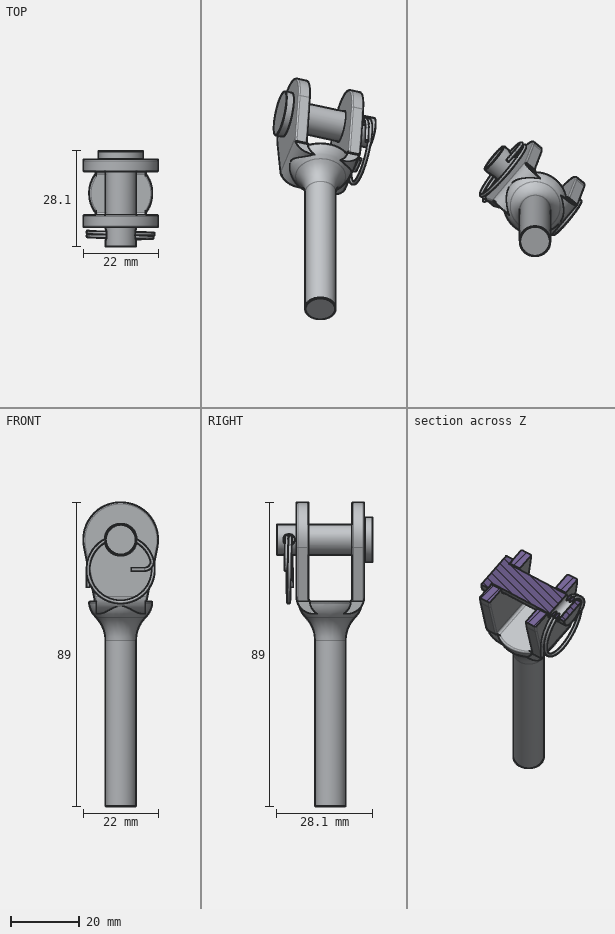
import cadquery as cq
import math

total_height = 89.0

eye_radius = 22.0 / 2
fork_width = 19.9
lug_gap = 12.6
lug_foot_half_width = 7.6
base_half_width = 7.1
floor_z = 60.0
outer_bend_radius = 5.1
inner_bend_radius = 0.8
fork_edge_radius = 0.45
bore_radius = 4.7

stud_radius = 4.5
stud_chamfer = 0.3
flare_start_z = 48.7
flare_mid_z = 55.4
flare_mid_radius = 7.3
flare_rim_radius = 9.35
flare_rim_fillet = 0.5

pin_radius = 9.0 / 2
pin_end_y = -15.7
head_radius = 13.3 / 2
head_thickness = 2.4
pin_chamfer = 0.2
cross_hole_radius = 1.6
cross_hole_chamfer = 0.2
cross_hole_y = -12.1

wire_radius = 0.49
coil_radius = 9.5
coil_pitch = 1.1
coil_start_y = -11.4
coil_centre_z = 69.3
tail_length = 5.25
hook_end_x = 3.0
hook_bend_x = 6.9

pin_z = total_height - eye_radius
lug_outer_y = fork_width / 2
lug_inner_y = lug_gap / 2
lug_thickness = lug_outer_y - lug_inner_y
base_bottom_z = floor_z - lug_thickness


def make_bent_strap():
    """Upright U with rounded bends, still as wide along X as the eyes."""
    block_height = total_height - base_bottom_z
    block = (
        cq.Workplane("XY", origin=(0, 0, base_bottom_z))
        .box(2 * eye_radius, fork_width, block_height, centered=(True, True, False))
        .edges("|X and <Z")
        .fillet(outer_bend_radius)
    )
    slot = (
        cq.Workplane("XY", origin=(0, 0, floor_z))
        .box(2 * eye_radius, lug_gap, block_height, centered=(True, True, False))
        .edges("|X and <Z")
        .fillet(inner_bend_radius)
    )
    return block.cut(slot)


def make_lugs():
    """The two tapered lugs above the slot floor, with rounded edges and no pin bore."""
    flank_drop = pin_z - floor_z
    foot_distance = math.hypot(lug_foot_half_width, flank_drop)
    flank_tilt = math.asin(eye_radius / foot_distance) - math.atan2(lug_foot_half_width, flank_drop)
    tangent_x = eye_radius * math.cos(flank_tilt)
    tangent_z = pin_z - eye_radius * math.sin(flank_tilt)
    bottom_x = lug_foot_half_width - lug_thickness * math.tan(flank_tilt)
    outline = (
        cq.Workplane("XZ", origin=(0, lug_outer_y, 0))
        .moveTo(-bottom_x, base_bottom_z)
        .lineTo(-tangent_x, tangent_z)
        .threePointArc((0, total_height), (tangent_x, tangent_z))
        .lineTo(bottom_x, base_bottom_z)
        .close()
        .extrude(fork_width)
    )
    above_floor = cq.Workplane("XY", origin=(0, 0, floor_z)).box(
        2 * eye_radius, fork_width, total_height - floor_z, centered=(True, True, False)
    )
    tapered_strap = make_bent_strap().intersect(outline)
    return tapered_strap.edges("not(|X or |Y)").fillet(fork_edge_radius).intersect(above_floor)


def make_base():
    """Straight-sided bent base below the slot floor, a little narrower than the lug feet."""
    below_floor = cq.Workplane("XY", origin=(0, 0, base_bottom_z)).box(
        2 * base_half_width, fork_width, lug_thickness, centered=(True, True, False)
    )
    return make_bent_strap().intersect(below_floor)


def make_flared_stud():
    """Round stud with an S-shaped flare, turned about Z."""
    rise = flare_mid_z - flare_start_z
    spread = flare_mid_radius - stud_radius
    concave_radius = (rise**2 + spread**2) / (2 * spread)
    half_angle = math.asin(rise / concave_radius) / 2
    concave_middle = (
        stud_radius + concave_radius * (1 - math.cos(half_angle)),
        flare_start_z + concave_radius * math.sin(half_angle),
    )
    return (
        cq.Workplane("XZ")
        .lineTo(stud_radius, 0)
        .lineTo(stud_radius, flare_start_z)
        .threePointArc(concave_middle, (flare_mid_radius, flare_mid_z))
        .tangentArcPoint((flare_rim_radius, floor_z), relative=False)
        .lineTo(0, floor_z)
        .close()
        .revolve(360, (0, 0, 0), (0, 1, 0))
        .faces("<Z")
        .chamfer(stud_chamfer)
        .faces(">Z")
        .edges()
        .fillet(flare_rim_fillet)
    )


def make_fork():
    """Fork terminal: lugs, base, flare and stud, bored for the clevis pin."""
    pin_bore = (
        cq.Workplane("XZ", origin=(0, lug_outer_y, pin_z))
        .circle(bore_radius)
        .extrude(fork_width)
    )
    return make_lugs().union(make_base()).union(make_flared_stud()).cut(pin_bore)


def make_clevis_pin():
    """Headed pin along Y with a cross hole for the split ring."""
    head = (
        cq.Workplane("XZ", origin=(0, lug_outer_y + head_thickness, pin_z))
        .circle(head_radius)
        .extrude(head_thickness)
        .edges()
        .chamfer(pin_chamfer)
    )
    shank = (
        cq.Workplane("XZ", origin=(0, lug_outer_y, pin_z))
        .circle(pin_radius)
        .extrude(lug_outer_y - pin_end_y)
        .faces("<Y")
        .chamfer(pin_chamfer)
    )
    cross_hole = (
        cq.Workplane("YZ", origin=(-pin_radius, cross_hole_y, pin_z))
        .circle(cross_hole_radius)
        .extrude(2 * pin_radius)
    )
    hole_mouths = cq.selectors.BoxSelector(
        (-pin_radius, cross_hole_y - cross_hole_radius / 2, pin_z - cross_hole_radius / 2),
        (pin_radius, cross_hole_y + cross_hole_radius / 2, pin_z + cross_hole_radius / 2),
    )
    drilled_shank = shank.cut(cross_hole).edges(hole_mouths).chamfer(cross_hole_chamfer)
    return head.union(drilled_shank)


def make_split_ring():
    """Wire ring of about one and a half turns, swept along tail, coil, bend and hook."""
    bend_radius = (coil_radius**2 - hook_bend_x**2) / (2 * coil_radius)
    coil_end_angle = math.atan2(bend_radius, hook_bend_x)
    coil_angle = 3 * math.pi - coil_end_angle

    coil_plane = cq.Plane(
        origin=(0, coil_start_y, coil_centre_z), xDir=(-1, 0, 0), normal=(0, -1, 0)
    )
    coil_height = coil_pitch * coil_angle / (2 * math.pi)
    coil = cq.Wire.makeHelix(coil_pitch, coil_height, coil_radius, lefthand=True)
    coil = coil.moved(coil_plane.location)
    advance = coil_pitch / (2 * math.pi * coil_radius)

    coil_start = cq.Vector(-coil_radius, coil_start_y, coil_centre_z)
    tail_direction = cq.Vector(0, advance, -1).normalized()
    tail_end = coil_start + tail_direction * tail_length
    tail = cq.Edge.makeLine(tail_end, coil_start)

    coil_end = cq.Vector(
        coil_radius * math.cos(coil_end_angle),
        coil_start_y - coil_height,
        coil_centre_z + coil_radius * math.sin(coil_end_angle),
    )
    coil_end_tangent = cq.Vector(math.sin(coil_end_angle), -advance, -math.cos(coil_end_angle))
    bend_length = bend_radius * (math.pi / 2 + coil_end_angle)
    bend_end = cq.Vector(hook_bend_x, coil_end.y - advance * bend_length, coil_centre_z)
    bend = cq.Edge.makeTangentArc(coil_end, coil_end_tangent, bend_end)
    hook_length = hook_bend_x - hook_end_x
    hook = cq.Edge.makeLine(bend_end, bend_end + bend.tangentAt(1) * hook_length)

    path = cq.Wire.assembleEdges([tail, *coil.Edges(), bend, hook])
    section = cq.Plane(origin=tail_end, xDir=(1, 0, 0), normal=tail_direction * -1)
    return cq.Workplane(section).circle(wire_radius).sweep(cq.Workplane(path), isFrenet=False)


fork = make_fork()
clevis_pin = make_clevis_pin()
split_ring = make_split_ring()

result = cq.Compound.makeCompound([fork.val(), clevis_pin.val(), split_ring.val()])